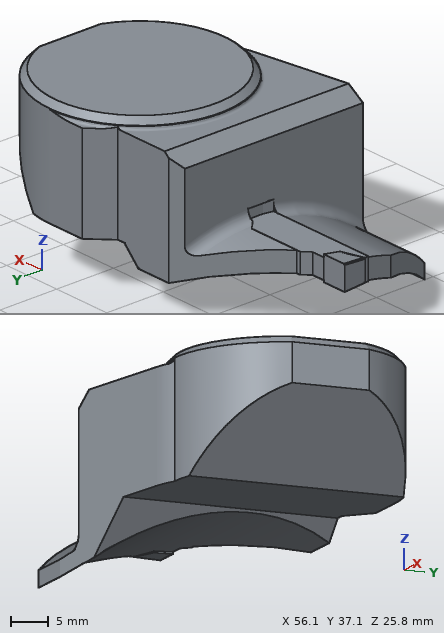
import cadquery as cq
import math


head_radius = 16.0
head_flat_x = 15.0
head_chamfer = 1.0
rim_depth = 1.1
flare = 0.5
body_top_z = -(rim_depth + flare)

wall_x = -21.65
wall_bevel_run = 2.4
wall_bevel_drop = 2.15
block_bottom_z = -17.8
relief_end_x = 3.75
heel_x = -11.15
far_side_y = 12.6
lug_start_x = -6.5
lug_drop = head_radius - far_side_y

blade_left_x = -40.2
near_side_y = -21.05
arc_center_y = 0.1
floor_radius = 30.05
floor_crown_z = -14.7
underside_radius = 33.0
underside_crown_z = -18.1
wall_fillet = 1.55

strip_top_z = -14.75
strip_clearance = 1.75
wall_notch = 0.35
notch_corner_y = -2.85
strip_near_y = -4.5
strip_far_y = 1.35

tip_x = -41.1
tip_far_y = 0.15
tip_nose_shift = 0.5
tip_back_x = -36.9
tip_top_z = -14.3
tip_bottom_z = -18.4
tip_edge_bevel = 0.15
tip_seam_y = -3.85

margin = 5.6
stock_left_x = tip_x - margin
stock_bottom_z = near_side_y - 2 * margin


def prism(points, bottom_z, top_z):
    """Upright prism over a plan outline."""
    return cq.Workplane("XY").workplane(offset=bottom_z).polyline(points).close().extrude(top_z - bottom_z)


def nose_x(y):
    """X of the slanted front of the tip and strip at the given Y."""
    return tip_x + tip_nose_shift * (tip_far_y - y) / (tip_far_y - strip_near_y)


def arc_bar(radius, crown_z, start_x, end_x):
    """Round bar along X whose highest line is at crown_z."""
    bar = cq.Workplane("YZ", origin=(start_x, arc_center_y, crown_z - radius))
    return bar.circle(radius).extrude(end_x - start_x)


def plan_body():
    """Everything inside the plan outline, from the lowest point up to the body top."""
    flat_half_width = math.sqrt(head_radius**2 - head_flat_x**2)
    joint = (0, -head_radius)
    near_edge_start = (-26.1, near_side_y)
    near_edge_end = (-3.25, -17.05)
    outline = (
        cq.Workplane("XY")
        .workplane(offset=stock_bottom_z)
        .moveTo(blade_left_x, 0)
        .lineTo(blade_left_x, -8.8)
        .lineTo(-33.1, near_side_y)
        .lineTo(*near_edge_start)
        .lineTo(*near_edge_end)
        .tangentArcPoint(joint, relative=False)
        .threePointArc(
            (head_radius * math.sin(math.pi / 4), -head_radius * math.cos(math.pi / 4)),
            (head_flat_x, -flat_half_width),
        )
        .lineTo(head_flat_x, flat_half_width)
        .threePointArc(
            (head_radius * math.sin(math.pi / 4), head_radius * math.cos(math.pi / 4)),
            (0, head_radius),
        )
        .lineTo(lug_start_x, head_radius)
        .lineTo(lug_start_x - lug_drop, far_side_y)
        .lineTo(-20.0, far_side_y)
        .lineTo(-32.95, strip_far_y)
        .lineTo(-34.2, 0)
        .close()
    )
    return outline.extrude(body_top_z - stock_bottom_z)


def side_profile():
    """Side outline of block and blade, extruded across the whole width."""
    relief_drop = head_flat_x - relief_end_x
    heel_reach = block_bottom_z - stock_bottom_z
    return (
        cq.Workplane("XZ", origin=(0, head_radius + margin, 0))
        .polyline([
            (head_flat_x, body_top_z),
            (head_flat_x, block_bottom_z + relief_drop),
            (relief_end_x, block_bottom_z),
            (heel_x, block_bottom_z),
            (heel_x - heel_reach, stock_bottom_z),
            (stock_left_x, stock_bottom_z),
            (stock_left_x, body_top_z - wall_bevel_drop),
            (wall_x, body_top_z - wall_bevel_drop),
            (wall_x + wall_bevel_run, body_top_z),
        ])
        .close()
        .extrude(head_radius - near_side_y + 2 * margin)
    )


def space_above_blade():
    """Open space over the blade, rounded where its floor meets the block wall."""
    space = cq.Workplane("XY").box(
        wall_x - stock_left_x,
        2 * (margin - near_side_y),
        body_top_z - stock_bottom_z,
        centered=False,
    ).translate((stock_left_x, near_side_y - margin, stock_bottom_z))
    floor = arc_bar(floor_radius, floor_crown_z, stock_left_x - margin, wall_x + margin)
    space = space.cut(floor)
    return space.faces(">X").edges("%CIRCLE").fillet(wall_fillet)


def strip_outline():
    return [
        (nose_x(tip_far_y), tip_far_y),
        (-34.7, tip_far_y),
        (-33.55, strip_far_y),
        (-23.85, strip_far_y),
        (-22.55, 0),
        (wall_x + wall_notch, 0),
        (wall_x + wall_notch, notch_corner_y),
        (wall_x, strip_near_y),
        (nose_x(strip_near_y), strip_near_y),
    ]


def make_head():
    """Round head with a flat, a bevelled rim and a flare down onto the block."""
    disc = cq.Workplane("XY").circle(head_radius).extrude(body_top_z).faces(">Z").chamfer(head_chamfer)
    flat_profile = (
        cq.Workplane("XZ", origin=(0, head_radius + margin, 0))
        .polyline([
            (-head_radius - margin, 0),
            (head_flat_x - head_chamfer, 0),
            (head_flat_x, -head_chamfer),
            (head_flat_x, body_top_z),
            (-head_radius - margin, body_top_z),
        ])
        .close()
        .extrude(2 * (head_radius + margin))
    )
    return disc.intersect(flat_profile)


def make_flare():
    """Concave collar between the head rim and the block top."""
    reach = flare * (1 - math.sqrt(0.5))
    return (
        cq.Workplane("XZ")
        .moveTo(0, -rim_depth)
        .lineTo(head_radius, -rim_depth)
        .threePointArc((head_radius + reach, body_top_z + reach), (head_radius + flare, body_top_z))
        .lineTo(0, body_top_z)
        .close()
        .revolve(360, (0, 0, 0), (0, 1, 0))
    )


def make_tip():
    """Cutting tip with a slanted front and a top that falls away towards -Y."""
    outline = [
        (nose_x(tip_far_y), tip_far_y),
        (tip_back_x, tip_far_y),
        (-37.25, -2.45),
        (nose_x(tip_seam_y), tip_seam_y),
    ]
    block = prism(outline, tip_bottom_z, tip_top_z)
    above_slope = (
        cq.Workplane("YZ", origin=(stock_left_x, 0, 0))
        .polyline([
            (tip_far_y, tip_top_z),
            (tip_seam_y, strip_top_z),
            (tip_seam_y, tip_top_z),
        ])
        .close()
        .extrude(tip_back_x - stock_left_x + margin)
    )
    sloped = block.cut(above_slope)
    front_top = cq.selectors.NearestToPointSelector((tip_x, (tip_far_y + tip_seam_y) / 2, tip_top_z))
    return sloped.edges(front_top).chamfer(tip_edge_bevel)


def make_holder(tip):
    """Head, block, blade and strip as one solid, with a seat for the tip."""
    plan = plan_body()
    holder = plan.intersect(side_profile()).cut(space_above_blade())
    strip = strip_outline()
    holder = holder.union(prism(strip, stock_bottom_z, strip_top_z))
    holder = holder.cut(prism(strip, strip_top_z, strip_top_z + strip_clearance))
    holder = holder.cut(arc_bar(underside_radius, underside_crown_z, stock_left_x, head_radius))
    collar = make_flare().intersect(plan.translate((0, 0, flare)))
    holder = holder.union(collar, clean=False).union(make_head(), clean=False)
    return holder.cut(tip, clean=False)


tip = make_tip()
holder = make_holder(tip)
result = cq.Compound.makeCompound([holder.val(), tip.val()])